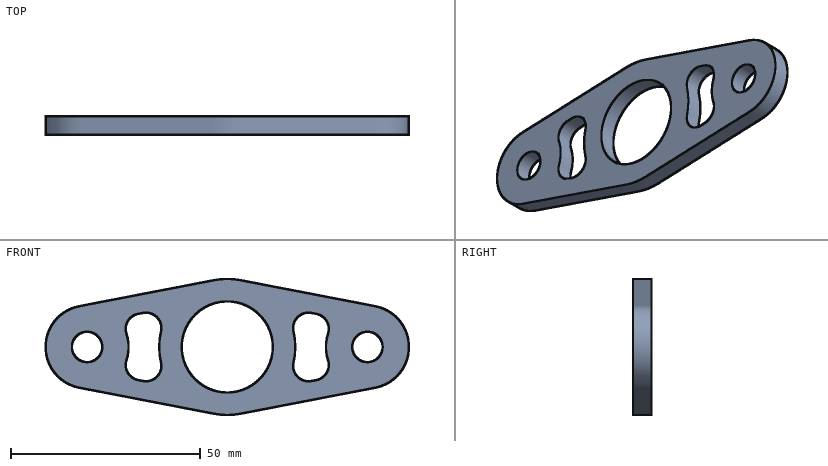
import cadquery as cq
import math

length = 96.0
height = 36.0
thickness = 5.0

bolt_spacing = 74.0
bolt_hole_diameter = 8.0
bore_diameter = 24.0

window_margin = 5.0
window_corner_radius = 4.0

bolt_x = bolt_spacing / 2
middle_radius = height / 2
end_radius = length / 2 - bolt_x
edge_sine = (middle_radius - end_radius) / bolt_x
edge_cosine = math.sqrt(1 - edge_sine**2)


def disc(radius, x=0):
    """Disc through the full thickness, centred on the long axis."""
    return (
        cq.Workplane("XZ")
        .center(x, 0)
        .circle(radius)
        .extrude(thickness / 2, both=True)
    )


def tapered_half(side, inset=0):
    """Area between the tangent edges on one side, moved inward by inset."""
    inner_radius = middle_radius - inset
    outer_radius = end_radius - inset
    inner_x = side * inner_radius * edge_sine
    inner_z = inner_radius * edge_cosine
    outer_x = side * (bolt_x + outer_radius * edge_sine)
    outer_z = outer_radius * edge_cosine
    return (
        cq.Workplane("XZ")
        .moveTo(inner_x, inner_z)
        .lineTo(outer_x, outer_z)
        .lineTo(outer_x, -outer_z)
        .lineTo(inner_x, -inner_z)
        .close()
        .extrude(thickness / 2, both=True)
    )


def window(side):
    """Waisted window whose sides are concentric with the bore and bolt hole."""
    bolt_clearance = disc(end_radius, side * bolt_x)
    blank = tapered_half(side, window_margin).cut(disc(middle_radius)).cut(bolt_clearance)
    return blank.edges("|Y").fillet(window_corner_radius)


plate = disc(middle_radius)
for side in (-1, 1):
    plate = plate.union(tapered_half(side)).union(disc(end_radius, side * bolt_x))

plate = plate.cut(disc(bore_diameter / 2))
for side in (-1, 1):
    plate = plate.cut(disc(bolt_hole_diameter / 2, side * bolt_x))
    plate = plate.cut(window(side))

result = plate